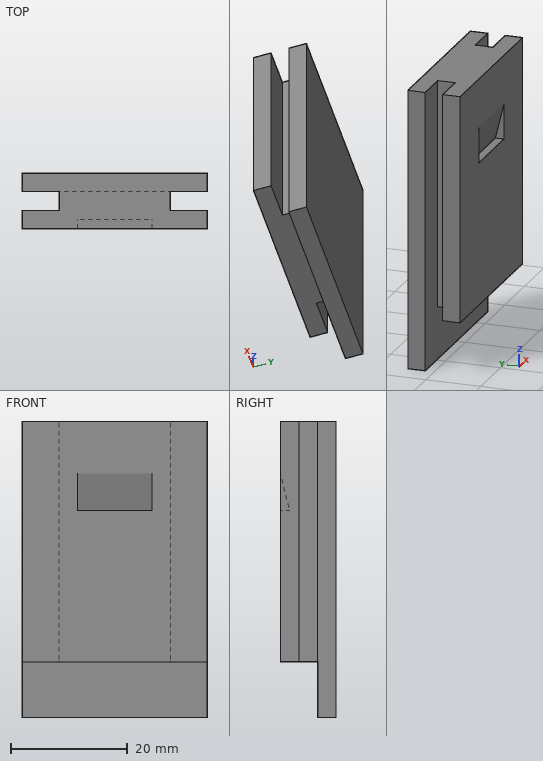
import cadquery as cq

height = 50.8
width = 31.75
thickness = 9.55

layer = thickness / 3
slot_depth = 6.35
core_width = width - 2 * slot_depth
foot_height = 9.55

recess_width = 12.7
recess_height = 6.35
recess_top_offset = 8.95
recess_depth = 1.6


def layer_block(block_width, front_y, bottom_z):
    """One layer, centred on X and reaching up to the top of the part."""
    return cq.Workplane("XY").box(
        block_width, layer, height - bottom_z, centered=(True, False, False)
    ).translate((0, front_y, bottom_z))


def wedge_recess():
    """Cutter whose floor slopes from the front face down to a flat ledge."""
    top_z = height - recess_top_offset
    bottom_z = top_z - recess_height
    return (
        cq.Workplane("YZ")
        .moveTo(0, top_z)
        .lineTo(recess_depth, bottom_z)
        .lineTo(0, bottom_z)
        .close()
        .extrude(recess_width / 2, both=True)
    )


front_plate = layer_block(width, 0, foot_height)
core = layer_block(core_width, layer, foot_height)
back_plate = layer_block(width, 2 * layer, 0)

result = front_plate.union(core).union(back_plate).cut(wedge_recess())